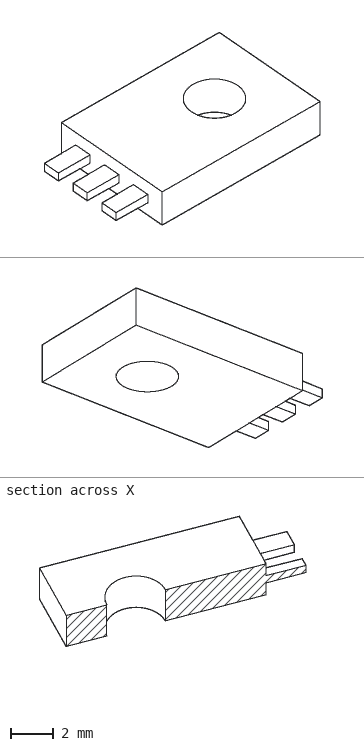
import cadquery as cq

body_width = 7.0
body_length = 10.0
body_thickness = 2.0

hole_diameter = 2.92
hole_to_far_end = 3.5

pin_count = 3
pin_pitch = 2.0
pin_root_width = 1.0
pin_root_thickness = 0.5
pin_length = 2.0
pin_taper_angle = 0.3


def make_body():
    """Rectangular block with a through hole near the end opposite the pins."""
    block = cq.Workplane("XY").box(
        body_width, body_length, body_thickness, centered=(True, False, True)
    )
    hole = (
        cq.Workplane("XY", origin=(0, body_length - hole_to_far_end, -body_thickness / 2))
        .circle(hole_diameter / 2)
        .extrude(body_thickness)
    )
    return block.cut(hole)


def make_pin(x_center):
    """Flat tapered pin projecting toward -Y from the middle of the body's end face."""
    return (
        cq.Workplane("XZ", origin=(x_center, 0, 0))
        .rect(pin_root_width, pin_root_thickness)
        .extrude(pin_length, taper=pin_taper_angle)
    )


result = make_body()
for index in range(pin_count):
    pin_x = (index - (pin_count - 1) / 2) * pin_pitch
    result = result.union(make_pin(pin_x))